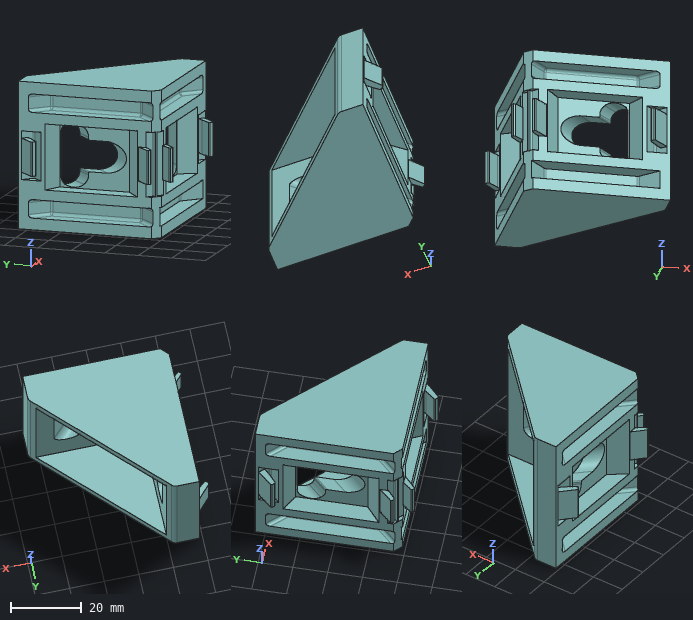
import cadquery as cq
import math


side = 42.0
height = 42.85
corner_chamfer = 2.2
end_width = 7.35
back_fillet = 2.0

wall = 9.15
plate = 3.0

slot_start = 1.6
slot_end = 38.9
slot_depth = 5.2
slot_height = 5.35
slot_offset = 15.3
slot_fillet = 0.95

pocket_start = 6.4
pocket_end = 33.9
pocket_floor_start = 10.55
pocket_floor_end = 31.25
pocket_height = 19.15
pocket_depth = 5.1

tip_center = 9.05
tip_radius = 4.6
throat_half_width = 4.55
neck_x = 12.4
neck_fillet = 0.3
ear_x = 15.55
ear_radius = 2.6
ear_top = 9.35
ear_side_z = 5.45
ear_blend_angle = math.radians(144)

corner_recess = 3.9
corner_recess_height = 18.75
ridge_base = 0.45
ridge_tip = 0.3
ridge_fillet = 0.35

vee_start = 35.2
vee_end = 41.0
vee_height = 14.1
vee_fillet = 0.45

tab_height = 9.9
tab_tip_chamfer = 0.3
tab_inner_taper = 0.45
tab_outer_taper = 0.28
tab_embed = 1.38
corner_tab_start = 3.6
corner_tab_end = 6.1
corner_tab_reach = 3.4
far_tab_start = 38.05
far_tab_end = 40.95
far_tab_reach = 45.85 - side

diagonal = cq.Vector(1, 1, 0)
across = cq.Vector(1, -1, 0)


def diag(total, difference):
    """Plan point whose X + Y and X - Y are given."""
    return ((total + difference) / 2, (total - difference) / 2)


def prism(points, depth):
    """Upright prism on a plan outline, centred on mid-height."""
    return cq.Workplane("XY").polyline(points).close().extrude(depth / 2, both=True)


def both_faces(shape):
    """The front-face shape together with its mirror image on the left face."""
    return [shape, shape.mirror(across)]


def make_body():
    outline = [
        (corner_chamfer, 0),
        (side, 0),
        (side, end_width),
        (end_width, side),
        (0, side),
        (0, corner_chamfer),
    ]
    body = prism(outline, height)
    for point in [(side, end_width), (end_width, side)]:
        body = body.edges(cq.NearestToPointSelector((*point, 0))).fillet(back_fillet)
    far = 2 * side
    return body.cut(prism([(wall, wall), (far, wall), (wall, far)], height - 2 * plate))


def make_slot():
    outline = [
        (slot_start, 0),
        (slot_end, 0),
        (slot_end - slot_depth, slot_depth),
        (slot_start + slot_depth, slot_depth),
    ]
    return prism(outline, slot_height)


def rounded_slot():
    return make_slot().faces("not <Y").edges("not <Y").fillet(slot_fillet)


def square_sided_slot():
    return make_slot().faces(">Y").edges("|Z").fillet(slot_fillet)


def make_pocket():
    outline = [
        (pocket_start, 0),
        (pocket_end, 0),
        (pocket_floor_end, pocket_depth),
        (pocket_floor_start, pocket_depth),
    ]
    return prism(outline, pocket_height)


def make_hole():
    tip_x = tip_center - tip_radius
    throat_start = tip_center - math.sqrt(tip_radius**2 - throat_half_width**2)
    ear_z = ear_top - ear_radius
    blend_x = ear_x + ear_radius * math.cos(ear_blend_angle)
    blend_z = ear_z + ear_radius * math.sin(ear_blend_angle)
    right_x = ear_x + ear_radius
    start = math.sqrt(2) * pocket_depth + tip_x
    plane = cq.Plane(origin=diagonal.normalized() * start, xDir=across, normal=diagonal)

    half = (
        cq.Workplane(plane)
        .moveTo(tip_x, 0)
        .radiusArc((throat_start, throat_half_width), tip_radius)
        .lineTo(neck_x - neck_fillet, throat_half_width)
        .radiusArc((neck_x, throat_half_width + neck_fillet), -neck_fillet)
        .lineTo(neck_x, ear_side_z)
        .tangentArcPoint((blend_x, blend_z), relative=False)
        .threePointArc((ear_x, ear_top), (right_x, ear_z))
        .lineTo(right_x, 0)
        .close()
        .extrude(side)
    )
    return half.union(half.mirror("XY"))


def make_corner_recess():
    recess = prism([(0, 0), (corner_recess, 0), (0, corner_recess)], corner_recess_height)
    ridge = [
        diag(corner_recess, ridge_base),
        diag(corner_chamfer, ridge_tip),
        diag(0, ridge_tip),
        diag(0, -ridge_tip),
        diag(corner_chamfer, -ridge_tip),
        diag(corner_recess, -ridge_base),
    ]
    recess = recess.cut(prism(ridge, corner_recess_height))
    for base in [ridge_base, -ridge_base]:
        foot = (*diag(corner_recess, base), 0)
        recess = recess.edges(cq.NearestToPointSelector(foot)).fillet(ridge_fillet)
    return recess


def make_vee():
    half_width = (vee_end - vee_start) / 2
    apex = (vee_start + half_width, half_width)
    vee = prism([(vee_start, 0), (vee_end, 0), apex], vee_height)
    return vee.edges(">Y").fillet(vee_fillet)


def make_tab(start, end, root, reach):
    """Tab leaning toward the corner, from the diagonal position root out to its reach below Y = 0."""
    inner = start + tab_inner_taper
    outer = end - tab_outer_taper
    corner_cut = tab_tip_chamfer * math.sqrt(2)
    tip = outer - 2 * reach - corner_cut
    outline = [
        diag(root, start),
        diag(start, start),
        diag(tip + corner_cut, inner),
        diag(tip, inner + corner_cut),
        diag(tip, outer - corner_cut),
        diag(tip + corner_cut, outer),
        diag(end, end),
        diag(root, end),
    ]
    return prism(outline, tab_height)


upper = (0, 0, slot_offset)
lower = (0, 0, -slot_offset)
left_slot = rounded_slot().mirror(across)

cuts = [
    rounded_slot().translate(upper),
    square_sided_slot().translate(lower),
    left_slot.translate(upper),
    left_slot.translate(lower),
    make_corner_recess(),
]
for feature in [make_pocket(), make_hole(), make_vee()]:
    cuts += both_faces(feature)

corner_tab = make_tab(corner_tab_start, corner_tab_end, corner_tab_end + tab_embed, corner_tab_reach)
far_tab = make_tab(far_tab_start, far_tab_end, vee_end + tab_embed, far_tab_reach)

result = make_body()
for cut in cuts:
    result = result.cut(cut)
for tab in both_faces(corner_tab) + both_faces(far_tab):
    result = result.union(tab)